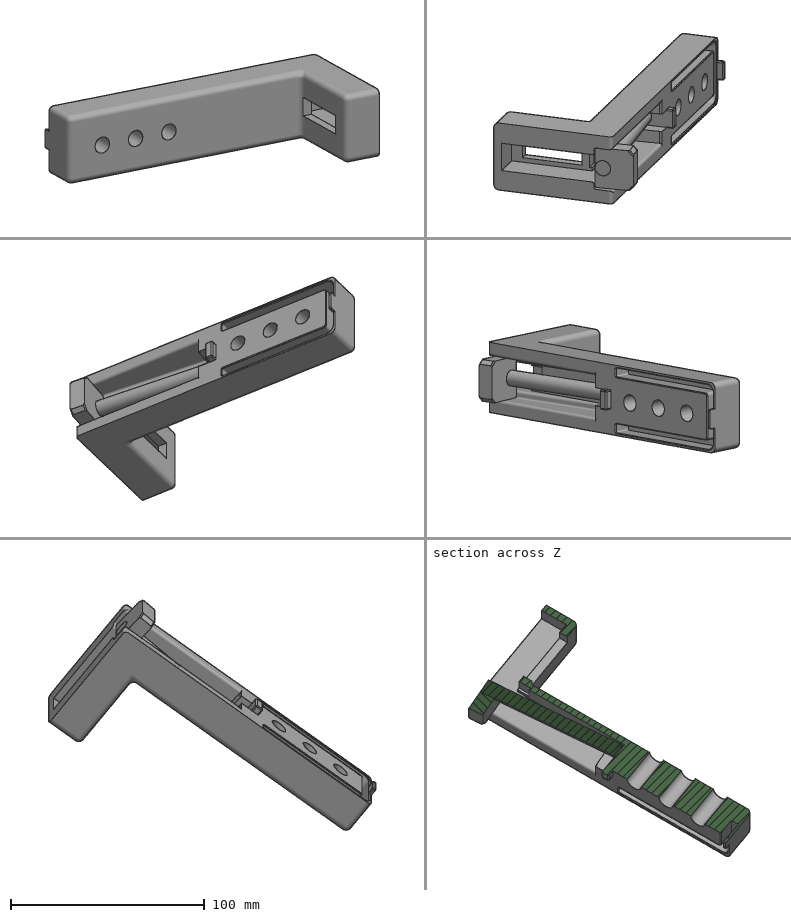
import cadquery as cq
import math

ARM_LENGTH = 160.0
ARM_THICKNESS = 20.5
LEG_LENGTH = 65.1
LEG_THICKNESS = 20.3
FRAME_HEIGHT = 37.0
OUTER_ROUND = 3.0
HEEL_ROUND = 2.0

TILT = 4.5
POCKET_END_Y = 84.3
POCKET_DEPTH = 15.8
POCKET_HALF_WIDTH = 11.4
POCKET_CORNER = 1.0
MOUTH_ROUND = 1.5
CHANNEL_HALF_WIDTH = 7.5
CHANNEL_FLOOR_X = 16.6
FLOOR_RECESS_START_Y = 137.5
FLOOR_RECESS_WIDTH = 11.5
FLOOR_RECESS_DEPTH = 1.5

SLOT_START_X = 22.2
SLOT_END_X = 54.9
SLOT_HEIGHT = 10.0
CAVITY_START_Y = 144.6
CAVITY_END_X = 60.8

RIM = 1.5
GROOVE_END_Y = 70.0
GROOVE_DEPTH = 9.6
GROOVE_OUTER_ROUND = 4.2
GROOVE_END_ROUND = 0.8
PAD_FRONT_Y = 5.6
PAD_HEIGHT = 24.8
PAD_ROUND = 1.5
GROOVE_CHAMFER = 0.5
HOLE_DIAMETER = 8.6
HOLE_PITCH = 20.0
HOLE_COUNT = 3

TAB_PROJECTION = 3.8
TAB_HEIGHT = 10.2
END_TAB_THICKNESS = 1.8
MIDDLE_TAB_START_Y = 73.3
MIDDLE_TAB_THICKNESS = 4.5
TAB_CHAMFER = 0.6

JAW_START = 64.5
JAW_THICKNESS = 8.5
JAW_PROJECTION = 4.6
JAW_HEIGHT = 22.0
JAW_CHAMFER = 2.0
JAW_CORNER_CHAMFER = 0.6
ROD_RADIUS = 4.2
ROD_OVERHANG = 6.7
ROD_NOTCH_END_Y = MIDDLE_TAB_START_Y + MIDDLE_TAB_THICKNESS
ROD_NOTCH_WIDTH = 9.6

JAW_END = JAW_START + JAW_THICKNESS

CLEARANCE = 16.0
MARGIN = 0.2


def block(x_range, y_range, height):
    """Box between two X and two Y limits, centred on Z = 0."""
    x_size = x_range[1] - x_range[0]
    y_size = y_range[1] - y_range[0]
    box = cq.Workplane("XY").box(x_size, y_size, height, centered=(False, False, True))
    return box.translate((x_range[0], y_range[0], 0))


def tilted(shape):
    """Turn a shape about Z and move its origin to the mouth end of the pocket."""
    return shape.rotate((0, 0, 0), (0, 0, 1), TILT).translate((0, POCKET_END_Y, 0))


def frame_blank():
    leg_y = ARM_LENGTH - LEG_THICKNESS
    outline = [
        (0, 0),
        (ARM_THICKNESS, 0),
        (ARM_THICKNESS, leg_y),
        (LEG_LENGTH, leg_y),
        (LEG_LENGTH, ARM_LENGTH),
        (0, ARM_LENGTH),
    ]
    blank = cq.Workplane("XY").polyline(outline).close().extrude(FRAME_HEIGHT / 2, both=True)
    inner_side = cq.selectors.BoxSelector(
        (MARGIN, -MARGIN, -FRAME_HEIGHT), (LEG_LENGTH + MARGIN, ARM_LENGTH - MARGIN, FRAME_HEIGHT)
    )
    inner_corner = cq.selectors.BoxSelector(
        (ARM_THICKNESS - MARGIN, leg_y - MARGIN, -MARGIN),
        (ARM_THICKNESS + MARGIN, leg_y + MARGIN, MARGIN),
    )
    rims = blank.faces("|Z").edges(inner_side)
    convex_corners = blank.edges("|Z").edges(inner_side - inner_corner)
    blank = blank.newObject(rims.vals() + convex_corners.vals()).fillet(OUTER_ROUND)
    blank = blank.edges(inner_corner).fillet(OUTER_ROUND)
    return blank.edges("|Z and <X and >Y").fillet(HEEL_ROUND)


def tilted_pocket():
    """Sloping pocket with a central channel whose floor is parallel to the arm."""
    bend = math.sqrt(0.5)
    corner_centre = (POCKET_HALF_WIDTH - POCKET_CORNER, POCKET_DEPTH - POCKET_CORNER)
    ledge = CHANNEL_HALF_WIDTH + MOUTH_ROUND
    corner_mid = (corner_centre[1] + POCKET_CORNER * bend, corner_centre[0] + POCKET_CORNER * bend)
    ledge_mid = (POCKET_DEPTH + MOUTH_ROUND * (1 - bend), ledge - MOUTH_ROUND * bend)
    deepest = POCKET_DEPTH + CLEARANCE
    half = (
        cq.Workplane("XZ")
        .moveTo(-CLEARANCE, 0)
        .lineTo(-CLEARANCE, POCKET_HALF_WIDTH)
        .lineTo(corner_centre[1], POCKET_HALF_WIDTH)
        .threePointArc(corner_mid, (POCKET_DEPTH, corner_centre[0]))
        .lineTo(POCKET_DEPTH, ledge)
        .threePointArc(ledge_mid, (POCKET_DEPTH + MOUTH_ROUND, CHANNEL_HALF_WIDTH))
        .lineTo(deepest, CHANNEL_HALF_WIDTH)
        .lineTo(deepest, 0)
        .close()
        .extrude(-ARM_LENGTH)
    )
    pocket = tilted(half.union(half.mirror("XY")))
    return pocket.intersect(block((-CLEARANCE, CHANNEL_FLOOR_X), (0, 2 * ARM_LENGTH), FRAME_HEIGHT))


def pocket_mouth():
    """Rounded lead-in along both long sides of the pocket."""
    bend = MOUTH_ROUND * (1 - math.sqrt(0.5))
    outer = POCKET_HALF_WIDTH + MOUTH_ROUND
    return (
        cq.Workplane("XZ", origin=(0, POCKET_END_Y, 0))
        .moveTo(0, -outer)
        .threePointArc((bend, -POCKET_HALF_WIDTH - bend), (MOUTH_ROUND, -POCKET_HALF_WIDTH))
        .lineTo(MOUTH_ROUND, POCKET_HALF_WIDTH)
        .threePointArc((bend, POCKET_HALF_WIDTH + bend), (0, outer))
        .close()
        .extrude(-ARM_LENGTH)
    )


def leg_slot():
    slot = block((SLOT_START_X, SLOT_END_X), (ARM_LENGTH - LEG_THICKNESS - CLEARANCE, ARM_LENGTH), SLOT_HEIGHT)
    cavity = block(
        (CHANNEL_FLOOR_X, CAVITY_END_X), (CAVITY_START_Y, ARM_LENGTH), 2 * CHANNEL_HALF_WIDTH
    )
    recess = block(
        (CHANNEL_FLOOR_X, CHANNEL_FLOOR_X + FLOOR_RECESS_DEPTH),
        (FLOOR_RECESS_START_Y, CAVITY_START_Y),
        FLOOR_RECESS_WIDTH,
    )
    return slot.union(cavity).union(recess)


def pad_groove():
    ring = block((0, GROOVE_DEPTH), (RIM, GROOVE_END_Y), FRAME_HEIGHT - 2 * RIM)
    ring = ring.edges("|X and <Y").fillet(GROOVE_OUTER_ROUND)
    pad = block((0, GROOVE_DEPTH), (PAD_FRONT_Y, GROOVE_END_Y), PAD_HEIGHT)
    pad = pad.edges("|X and <Y").fillet(PAD_ROUND)
    return ring.cut(pad).edges("|X and >Y").fillet(GROOVE_END_ROUND)


def cut_pad_groove(frame):
    """Cut the groove and chamfer its mouth, leaving the outline of the arm sharp."""
    reach = FRAME_HEIGHT / 2 - RIM + MARGIN
    mouth = cq.selectors.BoxSelector(
        (-MARGIN, RIM - MARGIN, -reach), (MARGIN, GROOVE_END_Y + MARGIN, reach)
    )
    return frame.cut(pad_groove()).edges(mouth).chamfer(GROOVE_CHAMFER)


def pad_holes():
    centres = [(HOLE_PITCH * (i + 1), 0) for i in range(HOLE_COUNT)]
    return cq.Workplane("YZ").pushPoints(centres).circle(HOLE_DIAMETER / 2).extrude(ARM_THICKNESS)


def end_tab():
    tab = block((-TAB_PROJECTION, 0), (0, END_TAB_THICKNESS), TAB_HEIGHT)
    return tab.edges("|X or <X").edges(">Y or |Y").chamfer(TAB_CHAMFER)


def middle_tab():
    tab_y = (MIDDLE_TAB_START_Y, MIDDLE_TAB_START_Y + MIDDLE_TAB_THICKNESS)
    tab = block((-TAB_PROJECTION, 0), tab_y, TAB_HEIGHT)
    return tab.edges("|X or <X").chamfer(TAB_CHAMFER)


def make_frame():
    notch = block((0, CHANNEL_FLOOR_X), (ROD_NOTCH_END_Y, POCKET_END_Y + 3.2), ROD_NOTCH_WIDTH)
    frame = frame_blank()
    frame = cut_pad_groove(frame)
    for cutter in (tilted_pocket(), pocket_mouth(), notch, leg_slot(), pad_holes()):
        frame = frame.cut(cutter)
    return frame.union(end_tab()).union(middle_tab())


def make_rod():
    rod = (
        cq.Workplane("XZ", origin=(POCKET_DEPTH - ROD_RADIUS, -ROD_OVERHANG, 0))
        .circle(ROD_RADIUS)
        .extrude(-(JAW_END + ROD_OVERHANG))
    )
    return tilted(rod)


def make_jaw(rod):
    bevel = cq.selectors.BoxSelector(
        (-JAW_PROJECTION + MARGIN, 0, -JAW_HEIGHT), (-JAW_PROJECTION + JAW_CHAMFER, ARM_LENGTH, JAW_HEIGHT)
    )
    jaw = block((-JAW_PROJECTION, POCKET_DEPTH), (JAW_START, JAW_END), JAW_HEIGHT)
    jaw = jaw.edges("|Y and >X").fillet(POCKET_CORNER)
    jaw = jaw.edges("|Y and <X").chamfer(JAW_CHAMFER)
    jaw = jaw.faces("|Y").edges(bevel).chamfer(JAW_CORNER_CHAMFER)
    return tilted(jaw).cut(rod)


frame = make_frame()
rod = make_rod()
jaw = make_jaw(rod)

result = cq.Compound.makeCompound([frame.val(), jaw.val(), rod.val()])